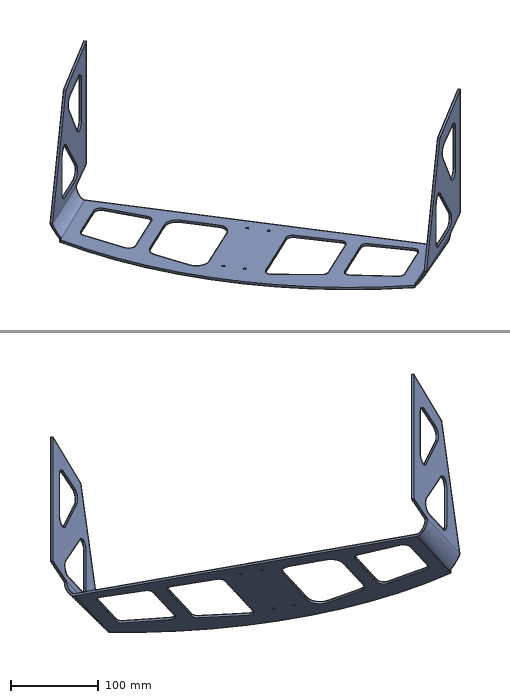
import cadquery as cq

overall_width = 450.0
overall_height = 185.75
sheet_thickness = 3.0
half_width = overall_width / 2

plate_half_width = 212.0
plate_depth = 150.0
plate_side_depth = 105.0

bend_height = 20.0
bend_depth = 100.0
front_bend_inset = 0.8
rear_bend_fullness = 0.46
front_bend_fullness = 0.18

wall_rear_y = 42.07
wall_rear_bottom_z = 27.5
wall_top_front_y = -44.0
wall_top_front_z = 164.5

small_radius = 7.5
medium_radius = 8.5
large_radius = 15.0
plate_windows = [
    ([(-194.6, -13.5), (-124.0, -21.2), (-124.0, -107.3), (-194.6, -84.5)], medium_radius),
    ([(-106.6, -19.2), (-32.0, -19.2), (-32.0, -131.6), (-106.6, -108.2)], large_radius),
    ([(37.0, -20.5), (107.5, -18.5), (107.5, -105.9), (37.0, -125.1)], small_radius),
    ([(125.0, -18.0), (193.0, -14.2), (193.0, -86.3), (125.0, -101.8)], small_radius),
]

wall_window_radius = 10.0
wall_windows = [
    [(21.7, 158.0), (21.7, 65.7), (-41.8, 146.2)],
    [(-59.6, 111.1), (-59.6, 28.5), (18.4, 28.5)],
]

hole_diameter = 3.0
hole_spacing_x = 25.5
hole_spacing_y = 100.0
hole_rear_y = -17.5


def window_cutter(workplane, corners, radius):
    """Prism with rounded corners, one sheet thickness long, rising from the workplane."""
    prism = workplane.polyline(corners).close().extrude(sheet_thickness)
    normal = workplane.plane.zDir
    return prism.edges(cq.selectors.ParallelDirSelector(normal)).fillet(radius)


def make_plate():
    plate = (
        cq.Workplane("XY")
        .moveTo(-plate_half_width, 0)
        .lineTo(plate_half_width, 0)
        .lineTo(plate_half_width, -plate_side_depth)
        .threePointArc((0, -plate_depth), (-plate_half_width, -plate_side_depth))
        .close()
        .extrude(sheet_thickness)
    )
    for corners, radius in plate_windows:
        plate = plate.cut(window_cutter(cq.Workplane("XY"), corners, radius))
    holes = (
        cq.Workplane("XY")
        .center(0, hole_rear_y - hole_spacing_y / 2)
        .rarray(hole_spacing_x, hole_spacing_y, 2, 2)
        .circle(hole_diameter / 2)
        .extrude(sheet_thickness)
    )
    return plate.cut(holes)


def make_right_wall():
    inner_face = cq.Plane(
        origin=(half_width - sheet_thickness, 0, 0), xDir=(0, 1, 0), normal=(1, 0, 0)
    )
    wall = (
        cq.Workplane(inner_face)
        .moveTo(0, bend_height)
        .lineTo(wall_rear_y, wall_rear_bottom_z)
        .lineTo(wall_rear_y, overall_height)
        .lineTo(wall_top_front_y, wall_top_front_z)
        .lineTo(-bend_depth, bend_height)
        .close()
        .extrude(sheet_thickness)
    )
    for corners in wall_windows:
        wall = wall.cut(window_cutter(cq.Workplane(inner_face), corners, wall_window_radius))
    return wall


def bend_section(y, start_x, fullness):
    """Closed XZ section of the bend, from the plate edge at start_x up to the end wall."""
    outer_start = cq.Vector(start_x, y, 0)
    outer_end = cq.Vector(half_width, y, bend_height)
    inner_start = cq.Vector(start_x, y, sheet_thickness)
    inner_end = cq.Vector(half_width - sheet_thickness, y, bend_height)

    def curve(start, end):
        run = cq.Vector(end.x - start.x, 0, 0)
        rise = cq.Vector(0, 0, end.z - start.z)
        return cq.Edge.makeBezier([start, start + run * fullness, end - rise * fullness, end])

    return cq.Wire.assembleEdges([
        curve(outer_start, outer_end),
        cq.Edge.makeLine(outer_end, inner_end),
        curve(inner_start, inner_end),
        cq.Edge.makeLine(inner_start, outer_start),
    ])


def make_right_bend():
    """Loft from a rounded section at the rear to a nearly straight chamfer at the front."""
    rear = bend_section(0, plate_half_width, rear_bend_fullness)
    front = bend_section(-bend_depth, plate_half_width - front_bend_inset, front_bend_fullness)
    ruled = True
    return cq.Workplane(cq.Solid.makeLoft([rear, front], ruled))


right_side = make_right_wall().union(make_right_bend())
left_side = right_side.mirror("YZ")
result = make_plate().union(right_side).union(left_side)